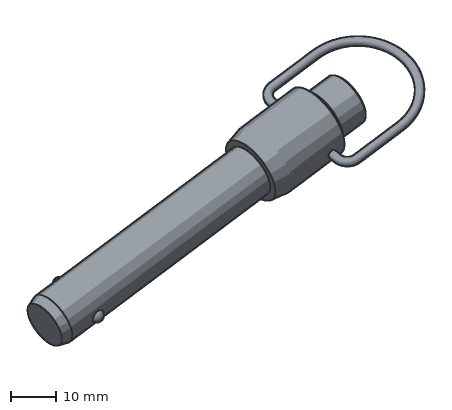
import cadquery as cq


overall_length = 109.5
ring_width = 29.5
wire_radius = 1.1
bend_radius = 3.1
stub_y = 78.6

shank_radius = 6.3
tip_radius = 5.6
tip_length = 2.4

sleeve_radius = 8.9
sleeve_front_y = 62.3
sleeve_front_radius = 8.0
sleeve_taper_length = 4.2
sleeve_back_y = 82.4

shoulder_length = 1.2
shoulder_base_radius = 7.7
shoulder_end_radius = 7.1

button_radius = 6.3
button_end_y = 91.5
button_chamfer = 0.3

ball_radius = 1.6
ball_y = 10.2
ball_span = 15.1


def make_body():
    """Revolve the shank, sleeve, shoulder and button about the Y axis."""
    shoulder_end_y = sleeve_back_y + shoulder_length
    profile = [
        (0, 0),
        (tip_radius, 0),
        (shank_radius, tip_length),
        (shank_radius, sleeve_front_y),
        (sleeve_front_radius, sleeve_front_y),
        (sleeve_radius, sleeve_front_y + sleeve_taper_length),
        (sleeve_radius, sleeve_back_y),
        (shoulder_base_radius, sleeve_back_y),
        (shoulder_end_radius, shoulder_end_y),
        (button_radius, shoulder_end_y),
        (button_radius, button_end_y - button_chamfer),
        (button_radius - button_chamfer, button_end_y),
        (0, button_end_y),
    ]
    return cq.Workplane("XY").polyline(profile).close().revolve(360, (0, 0), (0, 1))


def make_ring():
    """Sweep the wire from one side of the sleeve, around the bow, to the other."""
    side_x = ring_width / 2 - wire_radius
    bow_y = overall_length - ring_width / 2
    embedded_x = sleeve_radius / 2
    bend_x = side_x - bend_radius
    bend_y = stub_y + bend_radius
    path = (
        cq.Workplane("XY")
        .moveTo(embedded_x, stub_y)
        .lineTo(bend_x, stub_y)
        .tangentArcPoint((side_x, bend_y), relative=False)
        .lineTo(side_x, bow_y)
        .threePointArc((0, bow_y + side_x), (-side_x, bow_y))
        .lineTo(-side_x, bend_y)
        .tangentArcPoint((-bend_x, stub_y), relative=False)
        .lineTo(-embedded_x, stub_y)
    )
    wire_section = cq.Workplane("YZ", origin=(embedded_x, stub_y, 0)).circle(wire_radius)
    return wire_section.sweep(path)


def make_balls():
    """Place one locking ball on each side of the shank."""
    ball_x = ball_span / 2 - ball_radius
    return cq.Workplane("XY").pushPoints([(-ball_x, ball_y), (ball_x, ball_y)]).sphere(ball_radius)


result = make_body().union(make_ring()).union(make_balls())